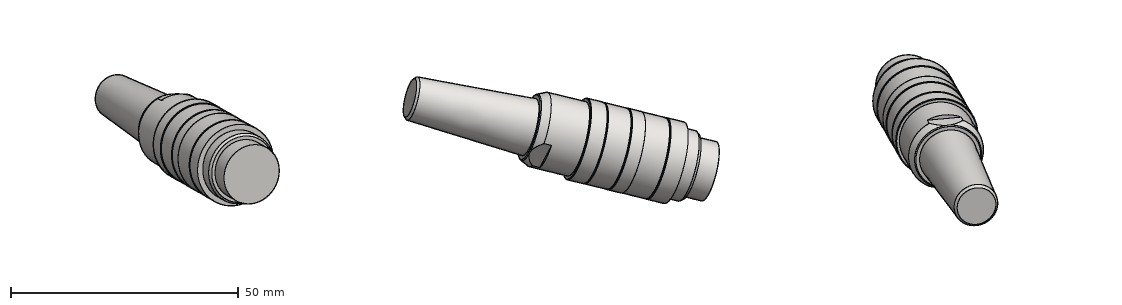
import cadquery as cq

total_length = 69.9

sleeve_tip_diameter = 9.85
sleeve_root_diameter = 12.9
sleeve_tip_chamfer = 0.55

collar_start = 27.8
collar_diameter = 16.9
collar_face_diameter = 14.6
nose_diameter = 15.1
nose_edge_length = 0.2
nose_end = 30.0
flat_end = 31.7
flat_spacing = 15.1

grip_start = 38.9
grip_end = 61.7
grip_diameter = 18.5
low_band_diameter = 18.45
band_step = 51.7

groove_diameter = 18.2
groove_half_width = 0.175
rear_groove = 42.9
middle_groove = 48.5
front_groove = 57.5

ring_diameter = 16.0
ring_edge_diameter = 15.1
ring_end = 65.35
ring_chamfer_length = 0.6
plug_diameter = 13.5


def v_groove(x, diameter_before, diameter_after):
    """Outline stations of one V groove joining two bands."""
    return [
        (x - groove_half_width, diameter_before),
        (x, groove_diameter),
        (x + groove_half_width, diameter_after),
    ]


def sleeve_stations():
    return [
        (0, sleeve_tip_diameter - 2 * sleeve_tip_chamfer),
        (sleeve_tip_chamfer, sleeve_tip_diameter),
        (collar_start, sleeve_root_diameter),
    ]


def collar_stations():
    return [
        (collar_start, collar_face_diameter),
        (collar_start + nose_edge_length, nose_diameter),
        (nose_end, collar_diameter),
        (grip_start, collar_diameter),
    ]


def grip_stations():
    return [
        (grip_start, groove_diameter),
        (grip_start + groove_half_width, grip_diameter),
        *v_groove(rear_groove, grip_diameter, low_band_diameter),
        *v_groove(middle_groove, low_band_diameter, grip_diameter),
        (band_step, grip_diameter),
        (band_step, low_band_diameter),
        *v_groove(front_groove, low_band_diameter, grip_diameter),
        (grip_end, grip_diameter),
    ]


def ring_and_plug_stations():
    return [
        (grip_end, ring_diameter),
        (ring_end - ring_chamfer_length, ring_diameter),
        (ring_end, ring_edge_diameter),
        (ring_end, plug_diameter),
        (total_length, plug_diameter),
    ]


def turned_body():
    """Revolve the (x, diameter) stations about the X axis."""
    stations = sleeve_stations() + collar_stations() + grip_stations() + ring_and_plug_stations()
    outline = [(x, diameter / 2) for x, diameter in stations]
    profile = cq.Workplane("XY").polyline([(0, 0), *outline, (total_length, 0)]).close()
    return profile.revolve(360, (0, 0, 0), (1, 0, 0))


def flat_cutter(side):
    """Block beyond one wrench flat: above the axis for side +1, below it for side -1."""
    length = flat_end - collar_start
    height = (grip_diameter - flat_spacing) / 2
    center_x = collar_start + length / 2
    center_z = side * (flat_spacing + height) / 2
    return cq.Workplane("XY").box(length, grip_diameter, height).translate((center_x, 0, center_z))


result = turned_body()
for side in (1, -1):
    result = result.cut(flat_cutter(side))